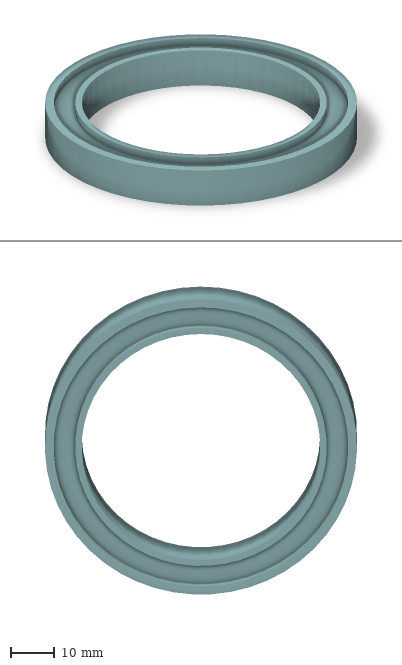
import cadquery as cq

outer_diameter = 72.0
outer_ring_bore = 68.0
inner_ring_diameter = 58.0
bore_diameter = 55.0
ring_height = 9.0
recess_depth = 2.0

filler_height = ring_height - 2 * recess_depth


def make_ring(outside_diameter, inside_diameter, height):
    """Plain ring centred on the mid-height plane."""
    return (
        cq.Workplane("XY")
        .workplane(offset=-height / 2)
        .circle(outside_diameter / 2)
        .circle(inside_diameter / 2)
        .extrude(height)
    )


outer_ring = make_ring(outer_diameter, outer_ring_bore, ring_height)
inner_ring = make_ring(inner_ring_diameter, bore_diameter, ring_height)

filler_ring = make_ring(outer_ring_bore, inner_ring_diameter, filler_height)

result = cq.Compound.makeCompound([outer_ring.val(), inner_ring.val(), filler_ring.val()])